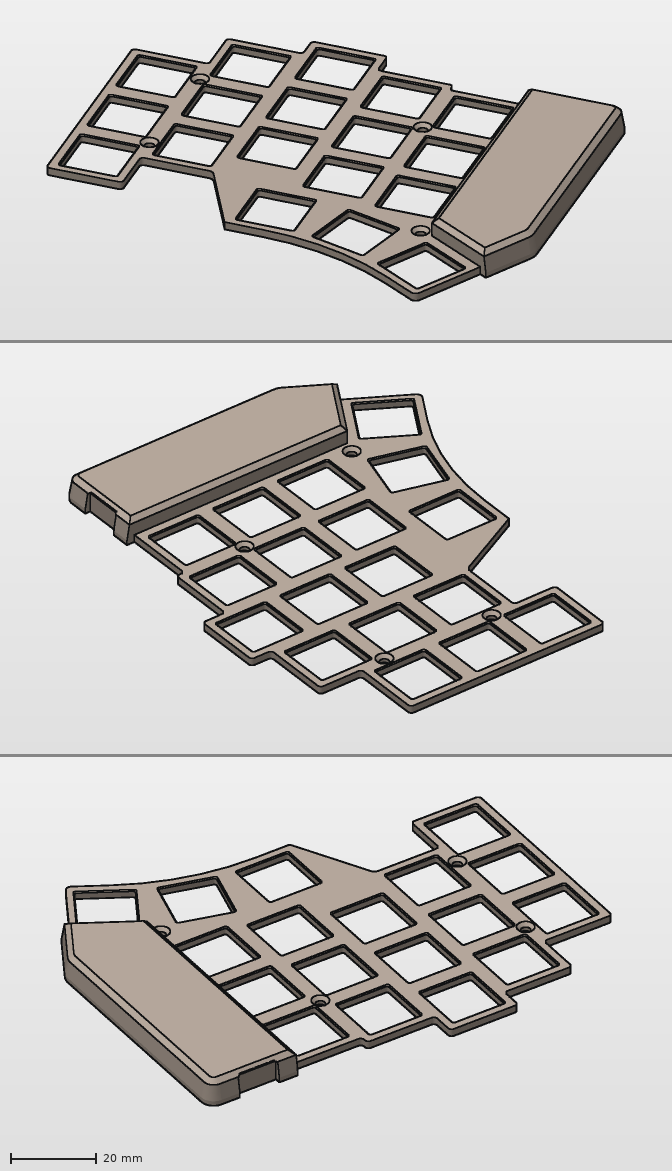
import cadquery as cq
import math


length_x = 120.0
depth_y = 97.0
height = 6.7
plate_thickness = 2.0

pitch = 19.0
half_cell = pitch / 2
rows = 3
column_height = rows * pitch
first_column_x = 9.6
column_rises = [0, 12.1, 18.0, 11.4, 9.1]
grid_base_y = depth_y - column_height - max(column_rises)

opening = 14.3
opening_corner_radius = 0.6
opening_chamfer = 0.3

thumb_keys = [(57.0, 23.5, 0), (78.1, 20.6, 15), (97.8, 12.2, 30)]
last_thumb_x, last_thumb_y, last_thumb_turn = thumb_keys[-1]
thumb_curve_radius = 68.4
thumb_side_offset = 9.1
thumb_left_x = 47.8
thumb_shoulder_x = 37.2

corner_radius = 1.0
tip_radius = 1.5
shoulder_radius = 1.8

screw_centers = [(19.5, 71.9), (18.6, 41.2), (76.0, 70.3), (92.0, 26.8)]
screw_diameter = 2.4
countersink_diameter = 4.3
countersink_angle = 90

block_left_x = 95.3
block_back_y = 90.2
block_thumb_offset = 10.3
block_slant_offset = 11.2
block_corner_radius = 3.4
block_slant_radius = 5.0
lip_height = 1.3
draft_inset = 0.7
top_chamfer_width = 1.5
top_chamfer_height = 1.2

notch_center_x = 106.0
notch_width = 11.0
notch_depth = 1.5
notch_corner_radius = 0.7
notch_top = 5.8


def last_thumb_point(along, up):
    """Point in the turned frame of the last thumb key."""
    turn = math.radians(last_thumb_turn)
    x = last_thumb_x + along * math.cos(turn) + up * math.sin(turn)
    y = last_thumb_y - along * math.sin(turn) + up * math.cos(turn)
    return x, y


def on_thumb_wall(x, up):
    """Point at the given x on the line a distance `up` above the last thumb key."""
    line_x, line_y = last_thumb_point(0, up)
    return x, line_y - (x - line_x) * math.tan(math.radians(last_thumb_turn))


def on_slanted_wall(x, along):
    """Point at the given x on the line a distance `along` beside the last thumb key."""
    line_x, line_y = last_thumb_point(along, 0)
    return x, line_y + (x - line_x) / math.tan(math.radians(last_thumb_turn))


def rounded_outline(corners, z=0.0):
    """Closed wire through (point, radius) corners, each rounded by a tangent arc."""
    wire = cq.Workplane("XY", origin=(0, 0, z))
    started = False
    for i, (point, radius) in enumerate(corners):
        here = cq.Vector(*point)
        to_last = (cq.Vector(*corners[i - 1][0]) - here).normalized()
        to_next = (cq.Vector(*corners[(i + 1) % len(corners)][0]) - here).normalized()
        half_angle = to_last.getAngle(to_next) / 2
        tangent = radius / math.tan(half_angle)
        start = here + to_last * tangent
        wire = wire.lineTo(start.x, start.y) if started else wire.moveTo(start.x, start.y)
        started = True
        if radius > 0:
            bisector = (to_last + to_next).normalized()
            middle = here + bisector * (radius / math.sin(half_angle) - radius)
            end = here + to_next * tangent
            wire = wire.threePointArc((middle.x, middle.y), (end.x, end.y))
    return wire.close()


def column_x(column):
    return first_column_x + column * pitch


def plate_corners():
    """Plate outline, clockwise from the lower left corner."""
    first_edge_x = column_x(0) + half_cell
    corners = [((0, grid_base_y), corner_radius)]
    left_x = 0
    for column, rise in enumerate(column_rises):
        top_y = grid_base_y + rise + column_height
        right_x = column_x(column) + half_cell
        corners.append(((left_x, top_y), corner_radius))
        corners.append(((right_x, top_y), corner_radius))
        left_x = right_x

    under_block_x = block_left_x + block_corner_radius
    corners[-1] = ((under_block_x, top_y), 0)
    corners.append((on_thumb_wall(under_block_x, block_thumb_offset + block_corner_radius), 0))
    corners.append((last_thumb_point(thumb_side_offset, block_thumb_offset + block_corner_radius), 0))

    corners.append((last_thumb_point(thumb_side_offset, -half_cell), tip_radius))
    thumb_base_y = thumb_keys[0][1] - half_cell
    edge_x, edge_y = last_thumb_point(0, -half_cell)
    bend_x = edge_x - (thumb_base_y - edge_y) / math.tan(math.radians(last_thumb_turn))
    corners.append(((bend_x, thumb_base_y), thumb_curve_radius))
    corners.append(((thumb_left_x, thumb_base_y), 0))

    second_column_base_y = grid_base_y + column_rises[1]
    corners.append(((thumb_shoulder_x, second_column_base_y), shoulder_radius))
    corners.append(((first_edge_x, second_column_base_y), corner_radius))
    corners.append(((first_edge_x, grid_base_y), corner_radius))
    return corners


def block_outline(z, outer_inset, inner_inset):
    """Block outline with its outer and inner walls moved inwards."""
    left_x = block_left_x + inner_inset
    right_x = length_x - outer_inset
    back_y = block_back_y - outer_inset
    thumb_offset = block_thumb_offset + inner_inset
    slant_offset = block_slant_offset - outer_inset
    return rounded_outline([
        ((left_x, back_y), 0),
        ((right_x, back_y), block_corner_radius - outer_inset),
        (on_slanted_wall(right_x, slant_offset), block_slant_radius - outer_inset),
        (last_thumb_point(slant_offset, thumb_offset), 0),
        (on_thumb_wall(left_x, thumb_offset), 0),
    ], z)


def block():
    """Lip, leaning walls and bevelled top of the block, stacked as straight-sided layers."""
    shoulder_z = height - top_chamfer_height
    levels = [
        (0, 0, 0),
        (lip_height, 0, 0),
        (shoulder_z, draft_inset, 0),
        (height, draft_inset + top_chamfer_width, top_chamfer_width),
    ]
    wires = [block_outline(*level).val() for level in levels]
    solid = cq.Workplane("XY")
    for lower, upper in zip(wires, wires[1:]):
        solid = solid.union(cq.Workplane(cq.Solid.makeLoft([lower, upper], True)))
    return solid


def rounded_square(side):
    return cq.Sketch().rect(side, side).vertices().fillet(opening_corner_radius)


def switch_opening(x, y, turn):
    """Cutter for one switch: a square hole with a bevelled upper rim."""
    rim_z = plate_thickness - opening_chamfer
    shaft = cq.Workplane("XY").placeSketch(rounded_square(opening)).extrude(plate_thickness)
    bevel = (
        cq.Workplane("XY", origin=(0, 0, rim_z))
        .placeSketch(
            rounded_square(opening),
            rounded_square(opening + 2 * opening_chamfer).moved(cq.Location(cq.Vector(0, 0, opening_chamfer))),
        )
        .loft()
    )
    cutter = shaft.union(bevel)
    return cutter.rotate((0, 0, 0), (0, 0, 1), -turn).translate((x, y, 0))


def switch_positions():
    grid = [
        (column_x(column), grid_base_y + rise + half_cell + row * pitch, 0)
        for column, rise in enumerate(column_rises)
        for row in range(rows)
    ]
    return grid + thumb_keys


plate = rounded_outline(plate_corners()).extrude(plate_thickness)
for position in switch_positions():
    plate = plate.cut(switch_opening(*position))
plate = (
    plate.faces(">Z")
    .workplane(origin=(0, 0, plate_thickness))
    .pushPoints(screw_centers)
    .cskHole(screw_diameter, countersink_diameter, countersink_angle)
)

notch = cq.Workplane("XY").box(notch_width, notch_depth, notch_top, centered=(True, False, False))
notch = notch.edges("|Y and >Z").fillet(notch_corner_radius)
notch = notch.translate((notch_center_x, block_back_y - notch_depth, 0))

result = plate.union(block()).cut(notch)